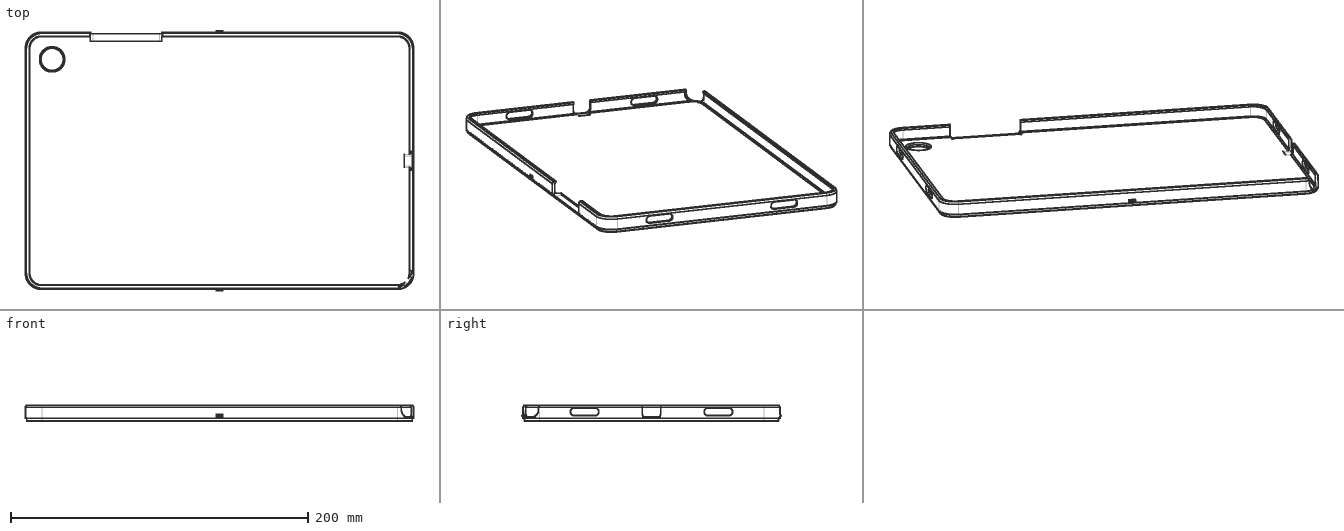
import cadquery as cq

LENGTH = 261.32
WIDTH = 173.0
OVERALL_WIDTH = 174.6
HEIGHT = 11.0
CORNER_RADIUS = 11.0
BASE_HEIGHT = 2.2
BASE_INSET = 0.9
BASE_BEVEL = 0.5
RIM_INSET = 0.8
RIM_BEVEL_HEIGHT = 1.5

WALL = 1.8
FLOOR = 2.5
FLOOR_BEVEL_WIDTH = 1.2
FLOOR_BEVEL_HEIGHT = 0.5

CAMERA_X = -112.6
CAMERA_Y = 68.2
CAMERA_DIAMETER = 15.0
CAMERA_BEVEL = 1.0

BUTTON_X = -62.8
BUTTON_LENGTH = 48.6
BUTTON_INNER_Y = 80.4
BUTTON_CORNER = 2.0
BUTTON_BOTTOM = 1.5

PORT_WIDTH = 12.4
PORT_INNER_X = 124.3
PORT_CORNER = 3.0
PORT_DEPTH = 0.2

JACK_WIDTH = 13.0
JACK_CORNER = 5.0
JACK_SHIFT = 0.9

SLOT_LENGTH = 19.0
SLOT_HEIGHT = 5.0
SLOT_Y = 45.0
SLOT_Z = 6.5

NUB_LENGTH = 4.5
NUB_Z = 3.9
NUB_OVERLAP = 0.3


def rounded_block(inset, bottom, top):
    """Block with rounded vertical edges, set in from the outer outline."""
    return (
        cq.Workplane("XY", origin=(0, 0, bottom))
        .rect(LENGTH - 2 * inset, WIDTH - 2 * inset)
        .extrude(top - bottom)
        .edges("|Z")
        .fillet(CORNER_RADIUS - inset)
    )


def make_tray():
    """Shallow open tray on a stepped-in base, with a rim lip leaning inward."""
    base = rounded_block(BASE_INSET, 0, BASE_HEIGHT)
    base = base.faces("<Z").edges().chamfer(BASE_BEVEL)
    shell = rounded_block(0, BASE_HEIGHT, HEIGHT)
    shell = shell.faces(">Z").edges().chamfer(RIM_BEVEL_HEIGHT, RIM_INSET)
    cavity = rounded_block(WALL, FLOOR, HEIGHT)
    cavity = cavity.faces("<Z").edges().chamfer(FLOOR_BEVEL_HEIGHT, FLOOR_BEVEL_WIDTH)
    cavity = cavity.faces(">Z").edges().chamfer(RIM_BEVEL_HEIGHT, RIM_INSET)
    return base.union(shell).cut(cavity)


def open_notch(width, bottom, corner, depth):
    """Cutter open at the top with rounded lower corners, running along +X from the origin."""
    return (
        cq.Workplane("XY")
        .box(depth, width, 2 * HEIGHT, centered=(False, True, False))
        .edges("|X and <Z")
        .fillet(corner)
        .translate((0, 0, bottom))
    )


def make_button_opening():
    notch = open_notch(BUTTON_LENGTH, BUTTON_BOTTOM, BUTTON_CORNER, WIDTH)
    return notch.rotate((0, 0, 0), (0, 0, 1), 90).translate((BUTTON_X, BUTTON_INNER_Y, 0))


def make_port_opening():
    notch = open_notch(PORT_WIDTH, FLOOR - PORT_DEPTH, PORT_CORNER, LENGTH)
    return notch.translate((PORT_INNER_X, 0, 0))


def make_jack_opening():
    """Diagonal notch through the rounded corner wall, level with the floor."""
    notch = open_notch(JACK_WIDTH, FLOOR, JACK_CORNER, 2 * CORNER_RADIUS)
    notch = notch.translate((0, JACK_SHIFT, 0))
    center_x = LENGTH / 2 - CORNER_RADIUS
    center_y = CORNER_RADIUS - WIDTH / 2
    return notch.rotate((0, 0, 0), (0, 0, 1), -45).translate((center_x, center_y, 0))


def make_speaker_slots():
    return (
        cq.Workplane("YZ", origin=(0, 0, SLOT_Z))
        .pushPoints([(-SLOT_Y, 0), (SLOT_Y, 0)])
        .slot2D(SLOT_LENGTH, SLOT_HEIGHT)
        .extrude(LENGTH, both=True)
    )


def make_camera_hole():
    radius = CAMERA_DIAMETER / 2
    hole = cq.Workplane("XY").circle(radius).extrude(FLOOR)
    bevel = cq.Solid.makeCone(
        radius, radius + CAMERA_BEVEL, CAMERA_BEVEL, pnt=cq.Vector(0, 0, FLOOR - CAMERA_BEVEL)
    )
    return hole.union(cq.Workplane(bevel)).translate((CAMERA_X, CAMERA_Y, 0))


def make_nub(side):
    """Triangular ridge on the wall facing the given Y side (-1 or +1)."""
    tip_y = side * OVERALL_WIDTH / 2
    root_y = side * (WIDTH / 2 - NUB_OVERLAP)
    half_height = abs(tip_y - root_y)
    return (
        cq.Workplane("YZ", origin=(-NUB_LENGTH / 2, 0, 0))
        .polyline([(root_y, NUB_Z - half_height), (tip_y, NUB_Z), (root_y, NUB_Z + half_height)])
        .close()
        .extrude(NUB_LENGTH)
    )


result = make_tray()
result = result.cut(make_camera_hole())
result = result.cut(make_button_opening())
result = result.cut(make_port_opening())
result = result.cut(make_jack_opening())
result = result.cut(make_speaker_slots())
for side in (-1, 1):
    result = result.union(make_nub(side))